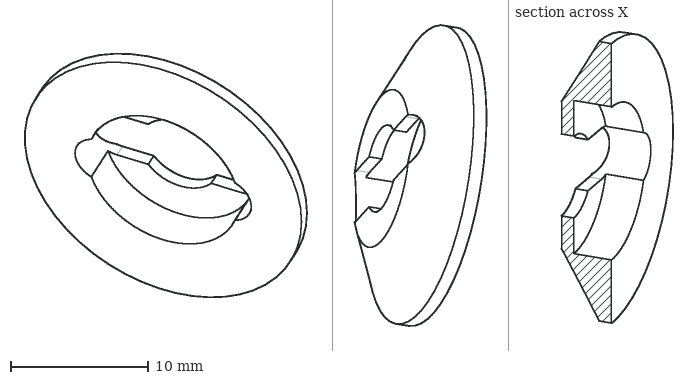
import cadquery as cq
import math

outer_diameter = 22.0
rim_thickness = 1.0
total_thickness = 4.0
cone_slope = math.radians(30.0)

recess_diameter = 12.0
floor_thickness = 1.0
recess_depth = total_thickness - floor_thickness

slot_length = 14.0
slot_width = 4.0
center_hole_diameter = 6.4

outer_radius = outer_diameter / 2
cone_height = total_thickness - rim_thickness
top_radius = outer_radius - cone_height / math.tan(cone_slope)


def flat_face():
    """Sketch plane on the flat face; negative extrusions run toward +Y."""
    return cq.Workplane("XZ")


def washer_body():
    """Cylindrical rim and cone, revolved about the Y axis."""
    profile = [
        (0, 0),
        (outer_radius, 0),
        (outer_radius, rim_thickness),
        (top_radius, total_thickness),
        (0, total_thickness),
    ]
    return cq.Workplane("XY").polyline(profile).close().revolve(360, (0, 0, 0), (0, 1, 0))


def round_cut(diameter, depth):
    return flat_face().circle(diameter / 2).extrude(-depth)


def slot_cut():
    return flat_face().slot2D(slot_length, slot_width).extrude(-total_thickness)


result = (
    washer_body()
    .cut(round_cut(recess_diameter, recess_depth))
    .cut(round_cut(center_hole_diameter, total_thickness))
    .cut(slot_cut())
)